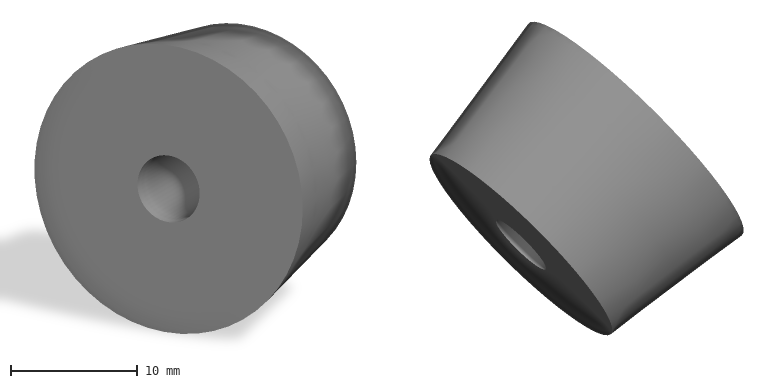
import cadquery as cq

wide_diameter = 23.7
narrow_diameter = 20.0
length = 13.0
hole_diameter = 5.5

wide_radius = wide_diameter / 2
narrow_radius = narrow_diameter / 2
hole_radius = hole_diameter / 2

half_section = (
    cq.Workplane("XY")
    .moveTo(hole_radius, 0)
    .lineTo(wide_radius, 0)
    .lineTo(narrow_radius, length)
    .lineTo(hole_radius, length)
    .close()
)

result = half_section.revolve(360, (0, 0, 0), (0, 1, 0))